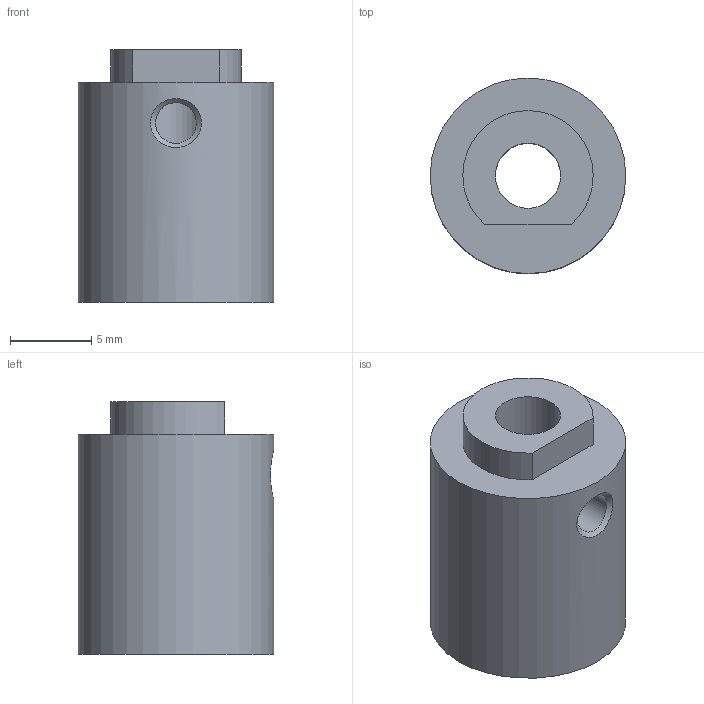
import cadquery as cq
import math

body_diameter = 12.0
body_height = 13.5

boss_diameter = 8.0
boss_height = 2.0
flat_distance = 3.0

bore_diameter = 4.0

screw_hole_diameter = 2.5
screw_hole_depth_below_top = 2.5
chamfer_size = 0.25

body_radius = body_diameter / 2
hole_radius = screw_hole_diameter / 2
total_height = body_height + boss_height
screw_hole_z = body_height - screw_hole_depth_below_top


def make_body():
    """Plain outer cylinder."""
    return cq.Workplane("XY").circle(body_radius).extrude(body_height)


def make_boss():
    """Round boss cut flat on its -Y side."""
    boss_radius = boss_diameter / 2
    half_flat = math.sqrt(boss_radius**2 - flat_distance**2)
    return (
        cq.Workplane("XY", origin=(0, 0, body_height))
        .moveTo(-half_flat, -flat_distance)
        .threePointArc((0, boss_radius), (half_flat, -flat_distance))
        .close()
        .extrude(boss_height)
    )


def make_bore():
    """Axial bore through body and boss."""
    return cq.Workplane("XY").circle(bore_diameter / 2).extrude(total_height)


def make_screw_hole():
    """Cylinder running from the axis out through the -Y side."""
    return cq.Workplane("XZ", origin=(0, 0, screw_hole_z)).circle(hole_radius).extrude(body_radius)


def make_mouth_chamfer():
    """Elliptical funnel that bevels the mouth of the screw hole.

    The bevel joins the lines where a ball of the chamfer size, rolled along the inside of the
    rim, touches the hole wall and the curved outside. The body falls away at the sides of the
    hole, so the bevel is wider there than at its top and bottom.
    """
    ball_orbit = hole_radius + chamfer_size
    ball_offset = body_radius - chamfer_size

    side_wall_depth = math.sqrt(ball_offset**2 - ball_orbit**2)
    side_rim_depth = side_wall_depth * body_radius / ball_offset
    side_rim_radius = ball_orbit * body_radius / ball_offset
    side_slope = (side_rim_radius - hole_radius) / (side_rim_depth - side_wall_depth)

    outer_depth = body_radius
    inner_depth = body_radius - 2 * chamfer_size

    def side_radius(depth):
        return hole_radius + side_slope * (depth - side_wall_depth)

    def top_radius(depth):
        return hole_radius + depth - ball_offset

    return (
        cq.Workplane("XZ", origin=(0, -inner_depth, screw_hole_z))
        .ellipse(side_radius(inner_depth), top_radius(inner_depth))
        .workplane(offset=outer_depth - inner_depth)
        .ellipse(side_radius(outer_depth), top_radius(outer_depth))
        .loft(ruled=True)
    )


result = (
    make_body()
    .union(make_boss())
    .cut(make_bore())
    .cut(make_screw_hole())
    .cut(make_mouth_chamfer())
)